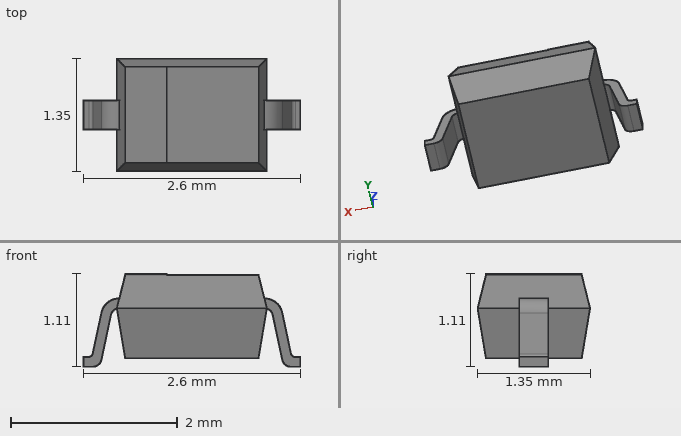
import cadquery as cq
import math

housing_length = 1.8
housing_width = 1.35
taper_inset = 0.1
housing_bottom = 0.102
lower_half_height = 0.6
upper_half_height = 0.4
parting_level = housing_bottom + lower_half_height
housing_top = parting_level + upper_half_height

band_length = 0.5
band_height = 0.012

lead_span = 2.6
lead_width = 0.35
lead_thickness = 0.12
foot_flat = 0.062
foot_inner_radius = 0.05
foot_outer_radius = 0.11
shoulder_inner_radius = 0.1
shoulder_outer_radius = shoulder_inner_radius + lead_thickness
lead_tilt = math.radians(12)
lead_embed_depth = 0.1

top_length = housing_length - 2 * taper_inset
top_width = housing_width - 2 * taper_inset


def housing_half(end_level):
    """Frustum from the parting level to a smaller rectangle at end_level."""
    return (
        cq.Workplane("XY", origin=(0, 0, parting_level))
        .rect(housing_length, housing_width)
        .workplane(offset=end_level - parting_level)
        .rect(top_length, top_width)
        .loft(ruled=True)
    )


def polarity_band():
    """Thin raised strip across the -X end of the top face."""
    return (
        cq.Workplane("XY", origin=((band_length - top_length) / 2, 0, housing_top))
        .box(band_length, top_width, band_height, centered=(True, True, False))
    )


def bend_point(center, radius, angle):
    """Point on a bend arc, with the angle measured from +X toward +Z."""
    return (center[0] + radius * math.cos(angle), center[1] + radius * math.sin(angle))


def make_lead():
    """Lead on the -X side: foot, tilted leg and shank that enters the housing."""
    toe_x = -lead_span / 2
    embedded_x = -housing_length / 2 + lead_embed_depth
    shank_top = parting_level + lead_thickness

    foot_inner_center = (toe_x + foot_flat, lead_thickness + foot_inner_radius)
    shoulder_center_z = parting_level - shoulder_inner_radius
    bend_rise = shoulder_center_z - foot_inner_center[1]
    bend_run = (
        (foot_inner_radius + shoulder_outer_radius) / math.cos(lead_tilt)
        + bend_rise * math.tan(lead_tilt)
    )
    shoulder_center = (foot_inner_center[0] + bend_run, shoulder_center_z)

    radius_reduction = foot_inner_radius + lead_thickness - foot_outer_radius
    corner_shift = radius_reduction * math.tan(math.pi / 4 - lead_tilt / 2)
    foot_outer_center = (foot_inner_center[0] + corner_shift, foot_outer_radius)

    foot_end = -lead_tilt
    foot_middle = (foot_end - math.pi / 2) / 2
    shoulder_start = math.pi - lead_tilt
    shoulder_middle = (shoulder_start + math.pi / 2) / 2

    return (
        cq.Workplane("XZ")
        .moveTo(toe_x, 0)
        .lineTo(foot_outer_center[0], 0)
        .threePointArc(
            bend_point(foot_outer_center, foot_outer_radius, foot_middle),
            bend_point(foot_outer_center, foot_outer_radius, foot_end),
        )
        .lineTo(*bend_point(shoulder_center, shoulder_inner_radius, shoulder_start))
        .threePointArc(
            bend_point(shoulder_center, shoulder_inner_radius, shoulder_middle),
            (shoulder_center[0], parting_level),
        )
        .lineTo(embedded_x, parting_level)
        .lineTo(embedded_x, shank_top)
        .lineTo(shoulder_center[0], shank_top)
        .threePointArc(
            bend_point(shoulder_center, shoulder_outer_radius, shoulder_middle),
            bend_point(shoulder_center, shoulder_outer_radius, shoulder_start),
        )
        .lineTo(*bend_point(foot_inner_center, foot_inner_radius, foot_end))
        .threePointArc(
            bend_point(foot_inner_center, foot_inner_radius, foot_middle),
            (foot_inner_center[0], lead_thickness),
        )
        .lineTo(toe_x, lead_thickness)
        .close()
        .extrude(lead_width / 2, both=True)
    )


leads = []
for turn in (0, 180):
    leads.append(make_lead().rotate((0, 0, 0), (0, 0, 1), turn))

housing = housing_half(housing_bottom).union(housing_half(housing_top)).union(polarity_band())
for lead in leads:
    housing = housing.cut(lead)

result = cq.Compound.makeCompound([housing.val(), *[lead.val() for lead in leads]])